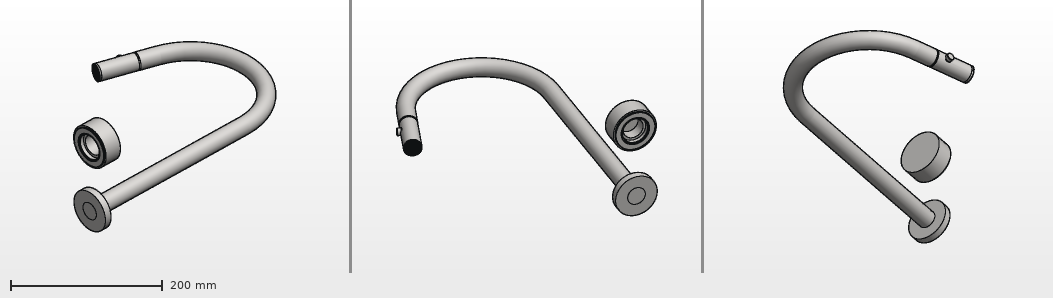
import cadquery as cq
import math


base_diameter = 60.0
base_thickness = 10.5

tube_diameter = 25.4
column_length = 281.51
bend_radius = 100.0
outlet_tilt = 18.0
outlet_length = 30.0

head_length = 58.0
head_diameter = 25.0
neck_length = 2.0
neck_diameter = 24.4

face_diameter = 23.0
face_thickness = 3.0
nozzle_diameter = 1.2
nozzle_pitch = 1.6
nozzle_rim = 0.2

button_diameter = 10.5
button_position = 16.5
button_height = 4.5
button_depth = 2.0
button_chamfer = 0.5

knob_x = -1.5
knob_z = 101.44
knob_diameter = 62.0
knob_back = 28.2
knob_front = 1.8
lip_diameter = 57.5
lip_chamfer = 0.8
mouth_diameter = 40.6
mouth_depth = 1.6
mouth_chamfer = 0.8
recess_diameter = 36.0
recess_depth = 7.5
bore_diameter = 28.6
bore_depth = 24.0

head_start = outlet_length + neck_length
face_start = head_start + head_length - face_thickness

tilt = math.radians(outlet_tilt)
bend_end_x = -bend_radius * (1 + math.cos(tilt))
bend_end_y = column_length + bend_radius * math.sin(tilt)
flow_direction = cq.Vector(-math.sin(tilt), -math.cos(tilt), 0)
outward_direction = cq.Vector(-math.cos(tilt), math.sin(tilt), 0)


def outlet_plane(distance):
    """Plane square to the outlet axis, a given distance past the end of the bend."""
    origin = cq.Vector(bend_end_x, bend_end_y, 0) + flow_direction * distance
    return cq.Plane(origin=origin, xDir=outward_direction, normal=flow_direction)


def cylinder_along_y(diameter, start, end, x=0, z=0):
    """Cylinder between two Y positions."""
    plane = cq.Plane(origin=(x, start, z), xDir=(1, 0, 0), normal=(0, 1, 0))
    return cq.Workplane(plane).circle(diameter / 2).extrude(end - start)


def make_base_plate():
    """Round plate pierced by the spout tube."""
    plate = cylinder_along_y(base_diameter, 0, base_thickness)
    return plate.cut(cylinder_along_y(tube_diameter, 0, base_thickness))


def make_spout():
    """Round tube swept along the column, the bend and the straight outlet."""
    outlet_end = outlet_plane(outlet_length).origin
    bend_middle_angle = math.radians((180 - outlet_tilt) / 2)
    bend_middle = (
        bend_radius * (math.cos(bend_middle_angle) - 1),
        column_length + bend_radius * math.sin(bend_middle_angle),
    )
    path = (
        cq.Workplane("XY")
        .lineTo(0, column_length)
        .threePointArc(bend_middle, (bend_end_x, bend_end_y))
        .lineTo(outlet_end.x, outlet_end.y)
    )
    return cq.Workplane("XZ").circle(tube_diameter / 2).sweep(path)


def make_button():
    """Short cylinder standing square to the outlet axis."""
    center = outlet_plane(head_start + button_position).origin
    foot = center + outward_direction * (head_diameter / 2 - button_depth)
    plane = cq.Plane(origin=foot, xDir=flow_direction, normal=outward_direction)
    button_blank = cq.Workplane(plane).circle(button_diameter / 2).extrude(button_depth + button_height)
    return button_blank.faces(cq.selectors.DirectionMinMaxSelector(outward_direction)).chamfer(button_chamfer)


def make_spray_face():
    """Disc perforated by a triangular grid of nozzles."""
    plane = outlet_plane(face_start)
    disc = cq.Workplane(plane).circle(face_diameter / 2).extrude(face_thickness)
    reach = face_diameter / 2 - nozzle_rim - nozzle_diameter / 2
    row_spacing = nozzle_pitch * math.sqrt(3) / 2
    row_count = int(reach / row_spacing)
    column_count = int(reach / nozzle_pitch) + 1
    nozzles = []
    for row in range(-row_count, row_count + 1):
        shift = nozzle_pitch / 2 * (row % 2)
        y = row * row_spacing
        for column in range(-column_count, column_count + 1):
            x = column * nozzle_pitch + shift
            if math.hypot(x, y) <= reach:
                nozzles.append((x, y))
    holes = cq.Workplane(plane).pushPoints(nozzles).circle(nozzle_diameter / 2).extrude(face_thickness)
    return disc.cut(holes)


def make_spray_head(button):
    """Cylinder with a narrow neck, a seat for the spray face and a socket for the button."""
    neck = cq.Workplane(outlet_plane(outlet_length)).circle(neck_diameter / 2).extrude(neck_length)
    body = cq.Workplane(outlet_plane(head_start)).circle(head_diameter / 2).extrude(head_length)
    seat = cq.Workplane(outlet_plane(face_start)).circle(face_diameter / 2).extrude(face_thickness)
    return neck.union(body).cut(seat).cut(button)


def make_knob():
    """Drum with a chamfered front lip, a wide mouth and a stepped blind bore open toward -Y."""
    drum = cylinder_along_y(knob_diameter, knob_front, knob_back, knob_x, knob_z)
    lip = cylinder_along_y(lip_diameter, 0, knob_front, knob_x, knob_z).faces("<Y").chamfer(lip_chamfer)
    mouth = cylinder_along_y(mouth_diameter, 0, mouth_depth, knob_x, knob_z).faces(">Y").chamfer(mouth_chamfer)
    recess = cylinder_along_y(recess_diameter, 0, recess_depth, knob_x, knob_z)
    bore = cylinder_along_y(bore_diameter, 0, bore_depth, knob_x, knob_z)
    return drum.union(lip).cut(mouth).cut(recess).cut(bore)


base_plate = make_base_plate()
spout = make_spout()
button = make_button()
spray_face = make_spray_face()
spray_head = make_spray_head(button)
knob = make_knob()

result = cq.Compound.makeCompound(
    [base_plate.val(), spout.val(), spray_head.val(), button.val(), spray_face.val(), knob.val()]
)